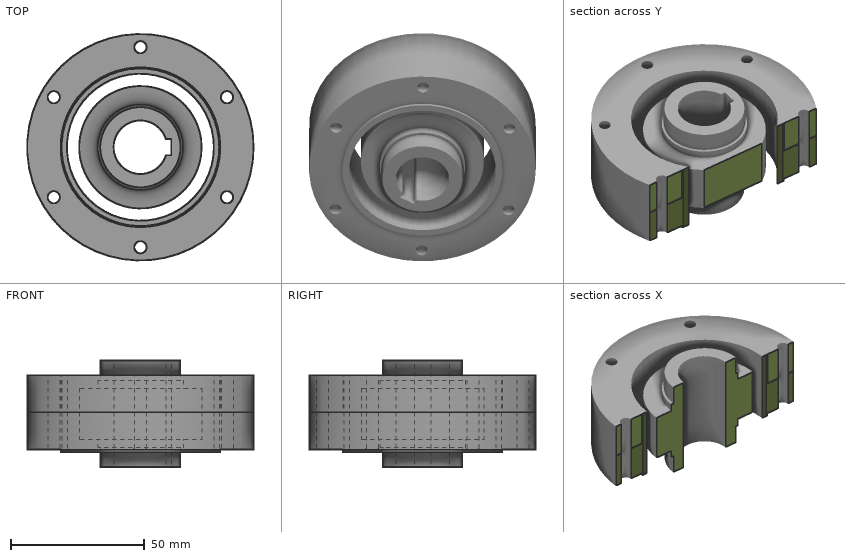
import cadquery as cq

hub_length = 40.0
ring_length = 29.0
spigot_height = 1.0
ring_top = ring_length / 2
ring_bottom = -ring_top
flange_bottom = ring_bottom + spigot_height
flange_thickness = (ring_top - flange_bottom) / 2
flange_joint = flange_bottom + flange_thickness

flange_diameter = 85.0
bolt_circle_diameter = 75.0
bolt_hole_diameter = 4.5
bolt_count = 6
first_bolt_angle = 90.0

tube_diameter = 60.0
tube_wall = 0.5
race_diameter = tube_diameter - 2 * tube_wall
race_bore_diameter = 55.0

hub_diameter = 30.0
hub_bore_diameter = 20.0
collar_diameter = 32.0
collar_length = 25.0
disc_diameter = 46.0
disc_length = 19.0
keyway_width = 6.0
keyway_reach = 11.5


def cylinder(diameter, bottom, height):
    """Solid cylinder on the Z axis, standing on the given height."""
    return cq.Workplane("XY").workplane(offset=bottom).circle(diameter / 2).extrude(height)


def centred_cylinder(diameter, length):
    """Solid cylinder on the Z axis, centred on the origin."""
    return cylinder(diameter, -length / 2, length)


def make_flange_ring(bottom):
    """Flat ring that fits around the tube, with a circle of through bolt holes."""
    bolt_holes = (
        cq.Workplane("XY")
        .workplane(offset=bottom)
        .polarArray(bolt_circle_diameter / 2, first_bolt_angle, 360, bolt_count)
        .circle(bolt_hole_diameter / 2)
        .extrude(flange_thickness)
    )
    return (
        cylinder(flange_diameter, bottom, flange_thickness)
        .cut(centred_cylinder(tube_diameter, ring_length))
        .cut(bolt_holes)
    )


def make_upper_flange():
    """Plain flange ring seated on the lower flange and around its tube."""
    return make_flange_ring(flange_joint)


def make_lower_flange():
    """Flange ring with a thin tube that rises flush with the upper flange and forms the spigot below."""
    tube = centred_cylinder(tube_diameter, ring_length).cut(centred_cylinder(race_diameter, ring_length))
    return make_flange_ring(flange_bottom).union(tube)


def make_race():
    """Plain ring inside the tube, over its full length."""
    return centred_cylinder(race_diameter, ring_length).cut(
        centred_cylinder(race_bore_diameter, ring_length)
    )


def make_hub():
    """Stepped hub with a keyed bore, the same on both ends."""
    keyway = cq.Workplane("XY").box(keyway_reach, keyway_width, hub_length, centered=(False, True, True))
    return (
        centred_cylinder(hub_diameter, hub_length)
        .union(centred_cylinder(collar_diameter, collar_length))
        .union(centred_cylinder(disc_diameter, disc_length))
        .cut(centred_cylinder(hub_bore_diameter, hub_length))
        .cut(keyway)
    )


upper_flange = make_upper_flange()
lower_flange = make_lower_flange()
race = make_race()
hub = make_hub()

result = cq.Compound.makeCompound([upper_flange.val(), lower_flange.val(), race.val(), hub.val()])